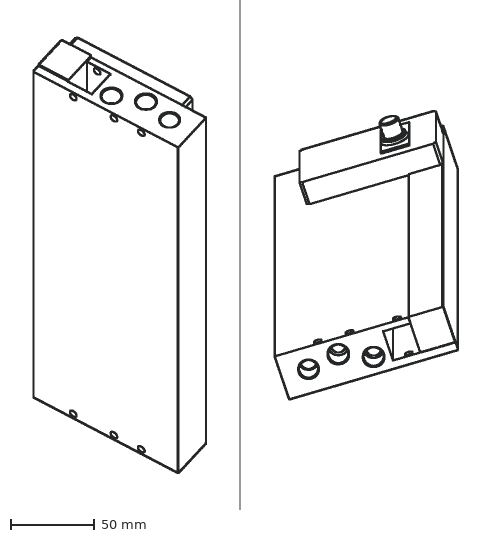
import cadquery as cq

total_height = 299.0
body_width = 106.7
body_depth = 29.3
pad_thickness = 1.2
body_bottom = pad_thickness
body_top = total_height - pad_thickness
front_edge_chamfer = 0.45

bracket_left = 0.15
bracket_right = 22.0
bracket_front = 5.7
bracket_rear_thickness = 0.5

channel_left = bracket_right
channel_right = 39.5
channel_front = 5.5
channel_rear = 25.0

ports = [
    (50.0, 11.0, 4.5, 6.0),
    (69.7, 19.0, 4.2, 6.0),
    (89.7, 15.2, 5.0, 5.7),
]
port_counterbore_depth = 13.5
port_mouth_chamfer = 0.5

screw_hole_xs = [29.5, 59.5, 79.5]
screw_hole_diameter = 4.8
screw_hole_end_distance = 4.2

housing_left = 0.15
housing_right = 86.5
housing_bottom = 235.0
housing_top = 288.8
housing_rear = 44.3
housing_chamfer = 1.8

connector_x = 25.7
connector_z = 258.5
plate_width = 18.0
plate_height = 35.3
plate_thickness = 1.2
plate_z = 261.3
flange_base_radius = 8.7
flange_radius = 7.5
flange_taper = 1.5
flange_rear = 48.5
plug_radius = 6.0
plug_rear = 58.3
plug_chamfer = 1.0


def box(x0, x1, y0, y1, z0, z1):
    """Axis-aligned box between two opposite corners."""
    return cq.Workplane("XY").box(x1 - x0, y1 - y0, z1 - z0, centered=False).translate((x0, y0, z0))


def make_body():
    body = box(0, body_width, 0, body_depth, body_bottom, body_top)
    return body.edges("|Z and <Y").chamfer(front_edge_chamfer)


def make_bracket():
    bracket_rear = body_depth + bracket_rear_thickness
    bracket = box(bracket_left, bracket_right, bracket_front, bracket_rear, 0, total_height)
    return bracket.edges("|Z and >Y").chamfer(bracket_rear_thickness)


def make_channel():
    return box(channel_left, channel_right, channel_front, channel_rear, 0, total_height)


def make_port(x, y, bore_radius, counterbore_radius):
    """Through bore, counterbored and chamfered at both ends of the body."""
    mouth_radius = counterbore_radius + port_mouth_chamfer
    lower_step = body_bottom + port_counterbore_depth
    upper_step = body_top - port_counterbore_depth
    half_profile = [
        (0, body_bottom),
        (mouth_radius, body_bottom),
        (counterbore_radius, body_bottom + port_mouth_chamfer),
        (counterbore_radius, lower_step),
        (bore_radius, lower_step),
        (bore_radius, upper_step),
        (counterbore_radius, upper_step),
        (counterbore_radius, body_top - port_mouth_chamfer),
        (mouth_radius, body_top),
        (0, body_top),
    ]
    port = cq.Workplane("XZ").polyline(half_profile).close().revolve(360, (0, 0, 0), (0, 1, 0))
    return port.translate((x, y, 0))


def make_screw_holes():
    hole_zs = [body_bottom + screw_hole_end_distance, body_top - screw_hole_end_distance]
    return (
        cq.Workplane("XZ")
        .pushPoints([(x, z) for x in screw_hole_xs for z in hole_zs])
        .circle(screw_hole_diameter / 2)
        .extrude(-body_depth)
    )


def make_housing():
    housing = box(housing_left, housing_right, body_depth, housing_rear, housing_bottom, housing_top)
    return housing.edges("|Y").chamfer(housing_chamfer)


def make_connector():
    plate_rear = housing_rear + plate_thickness
    plate = box(
        connector_x - plate_width / 2,
        connector_x + plate_width / 2,
        housing_rear,
        plate_rear,
        plate_z - plate_height / 2,
        plate_z + plate_height / 2,
    )
    turned = (
        cq.Workplane("XY")
        .moveTo(0, housing_rear)
        .lineTo(flange_base_radius, housing_rear)
        .lineTo(flange_base_radius, plate_rear)
        .lineTo(flange_radius, plate_rear + flange_taper)
        .lineTo(flange_radius, flange_rear)
        .lineTo(plug_radius, flange_rear)
        .lineTo(plug_radius, plug_rear - plug_chamfer)
        .lineTo(plug_radius - plug_chamfer, plug_rear)
        .lineTo(0, plug_rear)
        .close()
        .revolve(360, (0, 0, 0), (0, 1, 0))
        .translate((connector_x, 0, connector_z))
    )
    return plate.union(turned)


body = make_body().union(make_bracket()).cut(make_channel()).cut(make_screw_holes())
for port_sizes in ports:
    body = body.cut(make_port(*port_sizes))

result = body.union(make_housing()).union(make_connector())